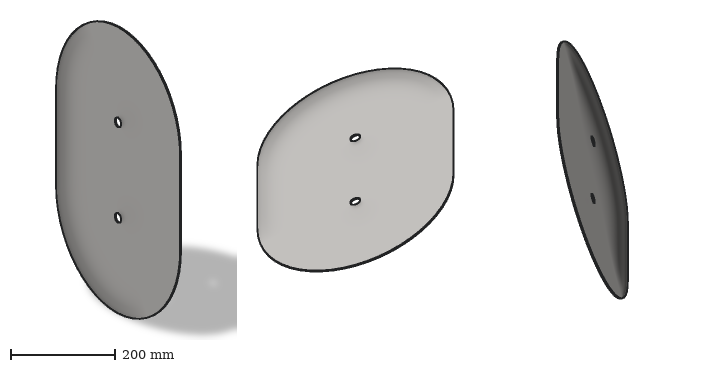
import cadquery as cq

height = 600.0
width = height * 2 / 3
thickness = 3.0
hole_diameter = 20.0

hole_spacing = height - width


def plate():
    """Plate outline: straight sides joined by semicircular ends, long axis along Z."""
    return (
        cq.Workplane("XZ")
        .slot2D(height, width, angle=90)
        .extrude(thickness / 2, both=True)
    )


def holes():
    """Cutters for the two holes through the thickness."""
    half_spacing = hole_spacing / 2
    return (
        cq.Workplane("XZ")
        .pushPoints([(0, -half_spacing), (0, half_spacing)])
        .circle(hole_diameter / 2)
        .extrude(thickness, both=True)
    )


result = plate().cut(holes())